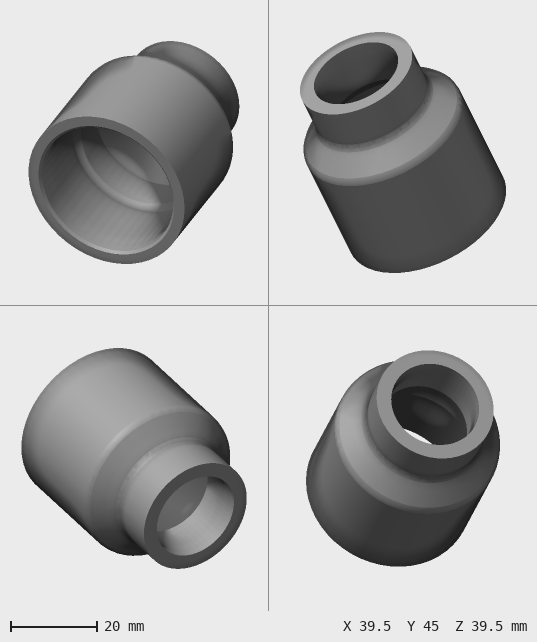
import cadquery as cq

length = 45.0
socket_outer_radius = 19.75
spigot_outer_radius = 14.0

spigot_corner_length = 10.6
shoulder_blend_radius = 2.5

socket_bore_radius = 16.6
mouth_chamfer = 0.6
socket_depth = 18.75
seat_length = 1.2
barrel_radius = 15.15
outlet_radius = 10.5

mouth_y = -length / 2
spigot_end_y = length / 2
shoulder_top_y = spigot_end_y - spigot_corner_length
shoulder_base_y = shoulder_top_y - (socket_outer_radius - spigot_outer_radius)
seat_y = mouth_y + socket_depth
barrel_y = seat_y + seat_length
cone_start_y = shoulder_base_y
cone_end_y = cone_start_y + (barrel_radius - outlet_radius)


def revolve_outline(points):
    """Turn an outline of (radius, y) points a full circle about the Y axis."""
    return cq.Workplane("XY").polyline(points).close().revolve(360, (0, 0, 0), (0, 1, 0))


def make_outer_body():
    """Solid socket and spigot joined by the shoulder, with both shoulder edges rounded."""
    body = revolve_outline([
        (0, mouth_y),
        (socket_outer_radius, mouth_y),
        (socket_outer_radius, shoulder_base_y),
        (spigot_outer_radius, shoulder_top_y),
        (spigot_outer_radius, spigot_end_y),
        (0, spigot_end_y),
    ])
    shoulder_edges = body.faces("%CONE").edges("%CIRCLE")
    return shoulder_edges.fillet(shoulder_blend_radius)


def make_bore():
    """Chamfered socket, conical seat and barrel, then a 45 degree cone down to the outlet."""
    return revolve_outline([
        (0, mouth_y),
        (socket_bore_radius + mouth_chamfer, mouth_y),
        (socket_bore_radius, mouth_y + mouth_chamfer),
        (socket_bore_radius, seat_y),
        (barrel_radius, barrel_y),
        (barrel_radius, cone_start_y),
        (outlet_radius, cone_end_y),
        (outlet_radius, spigot_end_y),
        (0, spigot_end_y),
    ])


result = make_outer_body().cut(make_bore())